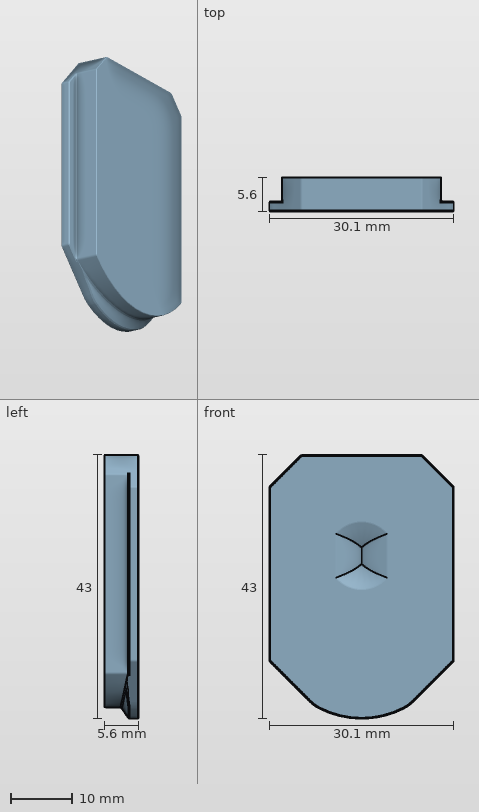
import cadquery as cq
import math

width = 30.1
thickness = 5.6
height = 42.95

top_corner_cut = 5.2
bottom_corner_height = 9.4
bottom_radius = width / 2
corner_round = 0.5
bottom_blend_radius = 6.0

flange_thickness = 1.65
body_width = 25.95
body_bottom_inset = 1.8
body_side_end_height = 7.4
ramp_run_per_rise = 1.5

edge_bevel = 0.17
back_bevel = 0.1
pocket_bevel = 0.1

pocket_z = 5.05
pocket_radius = 5.5
pocket_half_width = 4.15
pocket_depth = 1.8
pocket_tip_depth = pocket_depth * pocket_radius / pocket_half_width

half_width = width / 2
half_body = body_width / 2
front_y = -thickness / 2
back_y = thickness / 2
step_y = front_y + flange_thickness
top_z = height / 2
bottom_z = -height / 2
bottom_corner_z = bottom_z + bottom_corner_height

arc_centre_z = bottom_z + bottom_radius
cut_offset = half_width + arc_centre_z - bottom_corner_z
junction_x = (cut_offset - math.sqrt(2 * bottom_radius**2 - cut_offset**2)) / 2
junction_z = arc_centre_z - (cut_offset - junction_x)

body_top_corner_z = top_z - top_corner_cut + half_width - half_body
body_side_end_z = bottom_z + body_side_end_height
body_bottom_z = bottom_z + body_bottom_inset
body_arc_rise = body_side_end_z - body_bottom_z
body_arc_radius = (half_body**2 + body_arc_rise**2) / (2 * body_arc_rise)
body_arc_centre_z = body_bottom_z + body_arc_radius


def plane_at(y):
    """XZ work plane at the given Y; positive extrusion goes towards +Y."""
    return cq.Workplane(cq.Plane(origin=(0, y, 0), xDir=(-1, 0, 0), normal=(0, 1, 0)))


def height_range(low_z, high_z):
    """Selector for everything between two heights."""
    return cq.selectors.BoxSelector((-width, -thickness, low_z), (width, thickness, high_z))


def cone(radius, tip_distance, y, z):
    """Cone with its base at the given Y and its tip towards +Y."""
    solid = cq.Solid.makeCone(radius, 0, tip_distance, pnt=cq.Vector(0, y, z), dir=cq.Vector(0, 1, 0))
    return cq.Workplane("XY").add(solid)


def outline_prism(depth):
    """Full outline with rounded corners, extruded backwards from the front face."""
    prism = (
        plane_at(front_y)
        .moveTo(half_width - top_corner_cut, top_z)
        .lineTo(half_width, top_z - top_corner_cut)
        .lineTo(half_width, bottom_corner_z)
        .lineTo(junction_x, junction_z)
        .threePointArc((0, bottom_z), (-junction_x, junction_z))
        .lineTo(-half_width, bottom_corner_z)
        .lineTo(-half_width, top_z - top_corner_cut)
        .lineTo(top_corner_cut - half_width, top_z)
        .close()
        .extrude(depth)
    )
    prism = prism.edges("|Y").edges(height_range(bottom_z, junction_z + 0.45)).fillet(bottom_blend_radius)
    return prism.edges("|Y").edges(height_range(junction_z + 0.45, top_z + 0.45)).fillet(corner_round)


def flange():
    return outline_prism(flange_thickness).faces(">Y").edges().chamfer(edge_bevel)


def body():
    """Body block with a bevelled foot where its sides meet the flange."""
    block = (
        plane_at(front_y)
        .moveTo(half_body, top_z)
        .lineTo(half_body, body_side_end_z)
        .threePointArc((0, body_bottom_z), (-half_body, body_side_end_z))
        .lineTo(-half_body, top_z)
        .close()
        .extrude(thickness)
    )
    block = block.edges("|Y").edges(height_range(bottom_z, 0)).fillet(corner_round)
    block = block.intersect(outline_prism(thickness))
    upper_corners = height_range(body_top_corner_z - corner_round, body_top_corner_z + corner_round)
    block = block.edges("|Y").edges(upper_corners).fillet(corner_round)

    back_wire = block.faces(">Y").wires().val()
    foot_wire = back_wire.translate(cq.Vector(0, step_y - back_y, 0)).offset2D(edge_bevel)
    foot = plane_at(step_y).add(foot_wire).toPending().extrude(edge_bevel, taper=45)
    foot = foot.intersect(outline_prism(thickness))
    return block.faces(">Y").edges().chamfer(back_bevel).union(foot)


def ramp():
    """Conical ramp from the round end of the flange up to the body's lower end."""
    front_radius = bottom_radius + ramp_run_per_rise * flange_thickness
    slope = cone(front_radius, front_radius / ramp_run_per_rise, front_y, arc_centre_z)
    wall = plane_at(front_y).center(0, body_arc_centre_z).circle(body_arc_radius).extrude(thickness)

    seam = cq.selectors.BoxSelector((-0.45, step_y, bottom_z), (0.45, back_y - 0.45, 0))
    skirt = slope.union(wall).edges(seam).chamfer(edge_bevel).cut(wall)

    skirt = skirt.intersect(outline_prism(thickness))
    rim = cq.selectors.BoxSelector(
        (-0.45, step_y - edge_bevel, bottom_z - 0.45), (0.45, step_y + edge_bevel, bottom_z + body_bottom_inset)
    )
    skirt = skirt.edges(rim).chamfer(edge_bevel)

    zone_half_width = half_body - corner_round / 2
    zone_height = body_side_end_height - corner_round / 2
    zone = (
        cq.Workplane("XY", origin=(0, 0, bottom_z))
        .rect(2 * zone_half_width, 2 * thickness)
        .extrude(zone_height)
    )
    return skirt.intersect(zone)


def pocket():
    bowl = cone(pocket_radius, pocket_tip_depth, front_y, pocket_z)
    walls = (
        cq.Workplane("XY", origin=(0, 0, pocket_z - pocket_radius))
        .moveTo(-pocket_half_width, front_y)
        .lineTo(pocket_half_width, front_y)
        .lineTo(0, front_y + pocket_depth)
        .close()
        .extrude(2 * pocket_radius)
    )
    return bowl.intersect(walls)


part = flange().union(body()).union(ramp())
part = part.faces("<Y").edges().chamfer(edge_bevel)
part = part.cut(pocket())
pocket_rim = cq.selectors.BoxSelector(
    (-pocket_radius, front_y - 0.45, pocket_z - pocket_radius - 0.45),
    (pocket_radius, front_y + 0.45, pocket_z + pocket_radius + 0.45),
)
result = part.faces("<Y").edges(pocket_rim).chamfer(pocket_bevel)